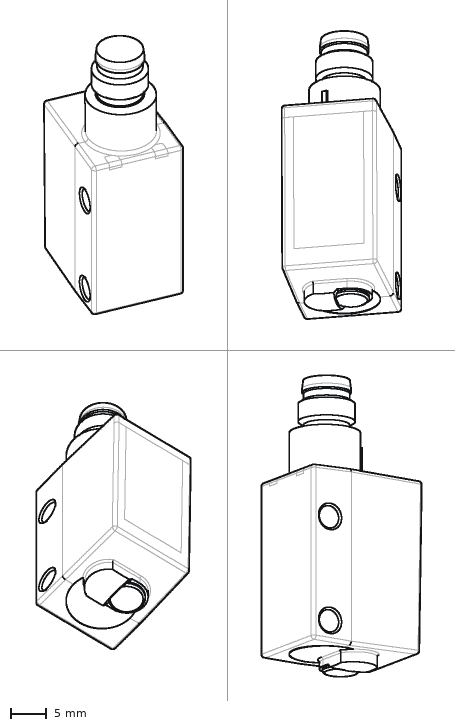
import cadquery as cq
import math


TOLERANCE = 0.005
OVERLAP = 1.0

BODY_HEIGHT = 25.4
BODY_WIDTH = 13.9
FRONT_REACH = 12.0
BACK_REACH = 6.37
DRAFT = math.tan(math.radians(1.0))
DRAFT_START = 23.2
EDGE_FILLET = 0.5

WINDOW_WIDTH = 10.0
WINDOW_HEIGHT = 20.0

INLAY_WIDTH = 1.88
INLAY_SPACING = 7.0
INLAY_LENGTH = 1.98
INLAY_CORNER = 0.35

INSERT_DEPTH = 1.0

HOLE_DIAMETER = 3.2
HOLE_CHAMFER = 0.3
HOLE_X = 3.5
HOLE_LEVELS = (3.0, 18.0)

NECK_RADIUS = 5.0
NECK_TOP = 31.95
NECK_FILLET = 0.5
RIB_ANGLE = 157.5
RIB_TOP = 29.95
RIB_REACH = 0.25
RIB_CREST_WIDTH = 0.7
RIB_ROOT_WIDTH = 1.0

PLUG_X = -0.28
PLUG_TOP = 39.5
STEM_RADIUS = 3.25
FOOT_RADIUS = 3.45
FOOT_HEIGHT = 0.1
COLLAR_RADIUS = 4.0
COLLAR_BOTTOM = 33.1
COLLAR_TOP = 36.65
COLLAR_BEVEL = 0.5
TIP_BOTTOM = 37.6
TIP_BEVEL = 0.2
TIP_RIM_TOP = 38.35
TIP_RADIUS = 3.45
TIP_END_RADIUS = 3.3

BOSS_X = -3.63
BOSS_WIDTH = 6.0
BOSS_OFFSET = 1.6
BOSS_FILLET = 0.3
LENS_RADIUS = 3.4
LENS_RIM_LEVEL = -1.75
LENS_APEX_LEVEL = -2.05
SHELF_LEVEL = -1.27
RAMP_START_Y = -0.25
ADJUSTER_RADIUS = 2.6
ADJUSTER_LEVEL = -1.85
ADJUSTER_CHAMFER = 0.3


def make_half(reach, profile, end_half_width):
    """One side of the parting plane: a side profile cut to a tapered plan, with rounded edges."""
    half_width = BODY_WIDTH / 2
    plan = (
        (0, -half_width),
        (reach, -end_half_width),
        (reach, end_half_width),
        (0, half_width),
    )
    block = (
        cq.Workplane("XZ")
        .polyline(profile)
        .close()
        .extrude(BODY_WIDTH, both=True)
        .intersect(cq.Workplane("XY").polyline(plan).close().extrude(BODY_HEIGHT))
    )
    parting_edges = cq.selectors.BoxSelector((-TOLERANCE, -BODY_WIDTH, -BODY_HEIGHT),
                                             (TOLERANCE, BODY_WIDTH, 2 * BODY_HEIGHT))
    draft_start_edge = cq.selectors.BoxSelector(
        (-FRONT_REACH - TOLERANCE, -TOLERANCE, DRAFT_START - TOLERANCE),
        (-FRONT_REACH + TOLERANCE, TOLERANCE, DRAFT_START + TOLERANCE))
    outer_edges = cq.selectors.StringSyntaxSelector("%LINE") - parting_edges - draft_start_edge
    return block.edges(outer_edges).fillet(EDGE_FILLET)


def add_half_neck(half, side):
    """The part of the round neck that stands on one half, blended into its top face."""
    neck = cq.Workplane("XY").circle(NECK_RADIUS).extrude(NECK_TOP)
    keep = cq.Workplane("XY").rect(BODY_WIDTH, BODY_WIDTH).extrude(NECK_TOP)
    half_neck = neck.intersect(keep.translate((side * BODY_WIDTH / 2, 0, 0)))
    root_edge = cq.selectors.BoxSelector(
        (-NECK_RADIUS, -TOLERANCE, BODY_HEIGHT - EDGE_FILLET),
        (NECK_RADIUS, TOLERANCE, BODY_HEIGHT - TOLERANCE))
    return half.union(half_neck).edges(root_edge).fillet(NECK_FILLET)


def make_rib():
    """Radial rib on the neck, narrower at its crest."""
    crest = NECK_RADIUS + RIB_REACH
    root = NECK_RADIUS - RIB_REACH / 2
    return (
        cq.Workplane("XY")
        .workplane(offset=BODY_HEIGHT - EDGE_FILLET)
        .polyline((
            (0, -RIB_ROOT_WIDTH / 2),
            (root, -RIB_ROOT_WIDTH / 2),
            (crest, -RIB_CREST_WIDTH / 2),
            (crest, RIB_CREST_WIDTH / 2),
            (root, RIB_ROOT_WIDTH / 2),
            (0, RIB_ROOT_WIDTH / 2),
        ))
        .close()
        .extrude(RIB_TOP - BODY_HEIGHT + EDGE_FILLET)
        .rotate((0, 0, 0), (0, 0, 1), RIB_ANGLE)
    )


def make_plug():
    """Turned connector: stem, bevelled collar and snap-in tip."""
    outline = (
        (0, NECK_TOP - OVERLAP),
        (FOOT_RADIUS, NECK_TOP - OVERLAP),
        (FOOT_RADIUS, NECK_TOP + FOOT_HEIGHT),
        (STEM_RADIUS, NECK_TOP + FOOT_HEIGHT),
        (STEM_RADIUS, COLLAR_BOTTOM),
        (COLLAR_RADIUS, COLLAR_BOTTOM + COLLAR_BEVEL),
        (COLLAR_RADIUS, COLLAR_TOP - COLLAR_BEVEL),
        (STEM_RADIUS, COLLAR_TOP),
        (STEM_RADIUS, TIP_BOTTOM),
        (TIP_RADIUS, TIP_BOTTOM + TIP_BEVEL),
        (TIP_RADIUS, TIP_RIM_TOP),
        (TIP_END_RADIUS, PLUG_TOP),
        (0, PLUG_TOP),
    )
    return (
        cq.Workplane("XZ")
        .polyline(outline)
        .close()
        .revolve(360, (0, 0, 0), (0, 1, 0))
        .translate((PLUG_X, 0, 0))
    )


def make_boss():
    """Boss outline: flat sides, lens arc at +Y, full round around the adjuster at -Y."""
    half_width = BOSS_WIDTH / 2
    lens_flat_end = BOSS_OFFSET + math.sqrt(LENS_RADIUS**2 - half_width**2)
    return (
        cq.Workplane("XY")
        .workplane(offset=LENS_APEX_LEVEL)
        .moveTo(BOSS_X - half_width, -BOSS_OFFSET)
        .threePointArc((BOSS_X, -BOSS_OFFSET - half_width), (BOSS_X + half_width, -BOSS_OFFSET))
        .lineTo(BOSS_X + half_width, lens_flat_end)
        .threePointArc((BOSS_X, BOSS_OFFSET + LENS_RADIUS), (BOSS_X - half_width, lens_flat_end))
        .close()
        .extrude(BODY_HEIGHT / 2 - LENS_APEX_LEVEL)
    )


def add_boss(front_half):
    """Boss on the bottom of the front half, blended into it."""
    joined = front_half.union(make_boss())
    root_edges = cq.selectors.BoxSelector(
        (BOSS_X - BOSS_WIDTH, -BODY_WIDTH / 2 + OVERLAP, TOLERANCE),
        (-TOLERANCE, BODY_WIDTH / 2 - OVERLAP, EDGE_FILLET))
    return joined.edges(root_edges).fillet(BOSS_FILLET)


def make_housing():
    """Two halves that taper away from the parting plane, with the neck and the boss blended in."""
    front_drop = FRONT_REACH * DRAFT
    back_drop = BACK_REACH * DRAFT
    front_lean = (DRAFT_START - front_drop) * DRAFT
    front_profile = (
        (0, 0),
        (0, BODY_HEIGHT),
        (-FRONT_REACH, BODY_HEIGHT - front_drop),
        (-FRONT_REACH, DRAFT_START),
        (-FRONT_REACH + front_lean, front_drop),
    )
    back_profile = (
        (0, 0),
        (0, BODY_HEIGHT),
        (BACK_REACH, BODY_HEIGHT - back_drop),
        (BACK_REACH, back_drop),
    )
    front = make_half(-FRONT_REACH, front_profile, BODY_WIDTH / 2 - front_drop)
    back = make_half(BACK_REACH, back_profile, BODY_WIDTH / 2)
    front = add_half_neck(add_boss(front), -1)
    back = add_half_neck(back, 1)
    return front.union(back)


def cut_shelf(body):
    """Step the boss up around the adjuster, with a 45 degree ramp up to the lens."""
    ramp_rise = SHELF_LEVEL - LENS_APEX_LEVEL
    cutter = (
        cq.Workplane("YZ")
        .workplane(offset=BOSS_X - BOSS_WIDTH)
        .polyline((
            (-BODY_WIDTH, SHELF_LEVEL),
            (RAMP_START_Y, SHELF_LEVEL),
            (RAMP_START_Y + ramp_rise, LENS_APEX_LEVEL),
            (-BODY_WIDTH, LENS_APEX_LEVEL),
        ))
        .close()
        .extrude(2 * BOSS_WIDTH)
    )
    return body.cut(cutter)


def dome_lens(body):
    """Trim the lens to a shallow spherical dome."""
    rise = LENS_RIM_LEVEL - LENS_APEX_LEVEL
    sphere_radius = (LENS_RADIUS**2 + rise**2) / (2 * rise)
    reach = LENS_RADIUS + OVERLAP
    reach_level = LENS_APEX_LEVEL + sphere_radius - math.sqrt(sphere_radius**2 - reach**2)
    bottom = LENS_APEX_LEVEL - OVERLAP
    cutter = (
        cq.Workplane("XZ")
        .moveTo(0, LENS_APEX_LEVEL)
        .radiusArc((reach, reach_level), -sphere_radius)
        .lineTo(reach, bottom)
        .lineTo(0, bottom)
        .close()
        .revolve(360, (0, 0, 0), (0, 1, 0))
        .translate((BOSS_X, BOSS_OFFSET, 0))
    )
    return body.cut(cutter)


def make_adjuster():
    """Round adjuster disc with a chamfered bottom edge."""
    return (
        cq.Workplane("XY")
        .workplane(offset=ADJUSTER_LEVEL)
        .center(BOSS_X, -BOSS_OFFSET)
        .circle(ADJUSTER_RADIUS)
        .extrude(-ADJUSTER_LEVEL)
        .faces("<Z")
        .chamfer(ADJUSTER_CHAMFER)
    )


def make_mounting_hole(level):
    """Through hole along Y, countersunk at both ends."""
    radius = HOLE_DIAMETER / 2
    rim = radius + HOLE_CHAMFER
    half_width = BODY_WIDTH / 2
    return (
        cq.Workplane("XY")
        .polyline((
            (0, -half_width),
            (rim, -half_width),
            (radius, HOLE_CHAMFER - half_width),
            (radius, half_width - HOLE_CHAMFER),
            (rim, half_width),
            (0, half_width),
        ))
        .close()
        .revolve(360, (0, 0, 0), (0, 1, 0))
        .translate((HOLE_X, 0, level))
    )


def make_window():
    """Block that covers the sensing window, starting where the front draft starts."""
    return cq.Workplane("XY").box(
        INSERT_DEPTH, WINDOW_WIDTH, WINDOW_HEIGHT, centered=(False, True, False)
    ).translate((-FRONT_REACH, 0, DRAFT_START - WINDOW_HEIGHT))


def make_inlay(side):
    """Block that covers one top inlay, kept clear of the neck's blended root."""
    block = (
        cq.Workplane("XY")
        .workplane(offset=BODY_HEIGHT - INSERT_DEPTH)
        .center(BACK_REACH - INLAY_LENGTH / 2, side * INLAY_SPACING / 2)
        .rect(INLAY_LENGTH, INLAY_WIDTH)
        .extrude(INSERT_DEPTH)
        .edges("|Z and <X")
        .fillet(INLAY_CORNER)
    )
    neck_clearance = cq.Workplane("XY").circle(NECK_RADIUS + NECK_FILLET).extrude(NECK_TOP)
    return block.cut(neck_clearance)


def set_flush(body, block):
    """Outline an insert on the surface; the unmerged union keeps its faces separate."""
    insert = body.intersect(block, clean=False)
    return body.cut(insert, clean=False).union(insert, clean=False)


housing = dome_lens(cut_shelf(make_housing()))
result = housing.union(make_adjuster()).union(make_rib()).union(make_plug())
for hole_level in HOLE_LEVELS:
    result = result.cut(make_mounting_hole(hole_level))
result = set_flush(result, make_window())
for inlay_side in (-1, 1):
    result = set_flush(result, make_inlay(inlay_side))